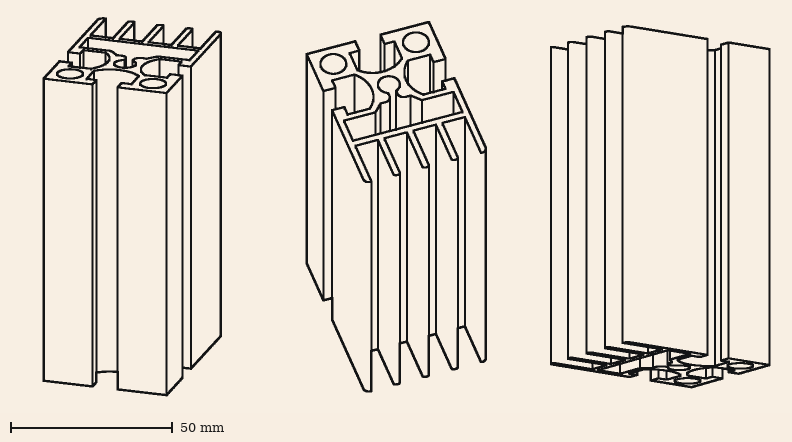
import cadquery as cq
import math

width = 40.0
depth = 55.5
length = 100.0
center_y = width / 2

slot_opening = 8.2
lip_thickness = 4.0
slot_inner_width = 14.6
slot_shoulder_depth = 11.2
slot_depth = 14.4

hole_diameter = 8.0
hole_inset = 6.5

bore_diameter = 6.8
neck_width = 2.6
lobe_radius = 2.0

wall = 2.1
cavity_front_y = 29.3
cavity_back_y = 37.9
funnel_bottom_y = 26.4
funnel_top_half_width = 7.6
funnel_bottom_half_width = 4.9

fin_count = 5
fin_base_y = 40.1
tip_radius = 0.8
side_tip_outer_radius = 1.8
side_tip_inner_radius = 0.2


def rectangle(x_min, x_max, y_min, y_max):
    """Full-length block between the given section limits."""
    return (
        cq.Workplane("XY")
        .center((x_min + x_max) / 2, (y_min + y_max) / 2)
        .rect(x_max - x_min, y_max - y_min)
        .extrude(length)
    )


def cylinder(x, y, diameter):
    """Full-length cylinder along Z."""
    return cq.Workplane("XY").center(x, y).circle(diameter / 2).extrude(length)


def t_slot(angle):
    """T-slot with an arched floor, turned from the front face about the bore axis."""
    half_opening = slot_opening / 2
    half_inner = slot_inner_width / 2
    slot = (
        cq.Workplane("XY")
        .moveTo(-half_opening, 0)
        .lineTo(-half_opening, lip_thickness)
        .lineTo(-half_inner, lip_thickness)
        .lineTo(-half_inner, slot_shoulder_depth)
        .threePointArc((0, slot_depth), (half_inner, slot_shoulder_depth))
        .lineTo(half_inner, lip_thickness)
        .lineTo(half_opening, lip_thickness)
        .lineTo(half_opening, 0)
        .close()
        .extrude(length)
    )
    return slot.rotate((0, center_y, 0), (0, center_y, 1), angle)


def rear_cavity():
    """Wide cavity narrowing through a funnel and rounded lobes into the neck."""
    half_cavity = width / 2 - wall
    half_neck = neck_width / 2
    lobe_center_x = half_neck + lobe_radius
    lobe_center_y = funnel_bottom_y - lobe_radius
    arc_offset = lobe_radius * math.sqrt(0.5)
    arc_x = lobe_center_x - arc_offset
    arc_y = lobe_center_y + arc_offset
    return (
        cq.Workplane("XY")
        .moveTo(-half_cavity, cavity_back_y)
        .lineTo(-half_cavity, cavity_front_y)
        .lineTo(-funnel_top_half_width, cavity_front_y)
        .lineTo(-funnel_bottom_half_width, funnel_bottom_y)
        .lineTo(-lobe_center_x, funnel_bottom_y)
        .threePointArc((-arc_x, arc_y), (-half_neck, lobe_center_y))
        .lineTo(-half_neck, center_y)
        .lineTo(half_neck, center_y)
        .lineTo(half_neck, lobe_center_y)
        .threePointArc((arc_x, arc_y), (lobe_center_x, funnel_bottom_y))
        .lineTo(funnel_bottom_half_width, funnel_bottom_y)
        .lineTo(funnel_top_half_width, cavity_front_y)
        .lineTo(half_cavity, cavity_front_y)
        .lineTo(half_cavity, cavity_back_y)
        .close()
        .extrude(length)
    )


def inner_fin(x):
    """Fin with rounded tip edges."""
    fin = rectangle(x - wall / 2, x + wall / 2, cavity_back_y, depth)
    return fin.edges("|Z and >Y").fillet(tip_radius)


def side_fin(side):
    """Outermost fin: broadly rounded outer tip edge and lightly rounded inner one."""
    outer_x = side * width / 2
    inner_x = outer_x - side * wall
    fin = rectangle(min(inner_x, outer_x), max(inner_x, outer_x), cavity_back_y, depth)
    outer_edge = cq.selectors.NearestToPointSelector((outer_x, depth, length / 2))
    fin = fin.edges("|Z").edges(outer_edge).fillet(side_tip_outer_radius)
    inner_edge = cq.selectors.NearestToPointSelector((inner_x, depth, length / 2))
    return fin.edges("|Z").edges(inner_edge).fillet(side_tip_inner_radius)


result = rectangle(-width / 2, width / 2, 0, fin_base_y)

fin_pitch = (width - wall) / (fin_count - 1)
for index in range(1, fin_count - 1):
    result = result.union(inner_fin((index - (fin_count - 1) / 2) * fin_pitch))
for side in (-1, 1):
    result = result.union(side_fin(side))

for angle in (-90, 0, 90):
    result = result.cut(t_slot(angle))
result = result.cut(rear_cavity())
result = result.cut(cylinder(0, center_y, bore_diameter))
for side in (-1, 1):
    result = result.cut(cylinder(side * (width / 2 - hole_inset), hole_inset, hole_diameter))